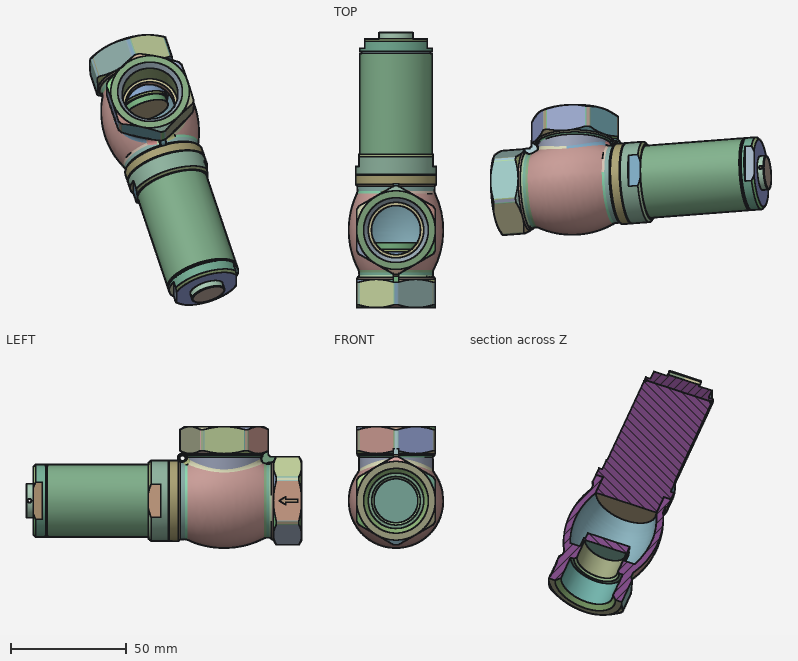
import cadquery as cq
import math


hex_flats = 34.0
hex_corners = 38.2
corner_rounding = 1.0
corner_clearance = 1.0
hex_angle = 60
hex_bevel = math.tan(math.radians(30))
neck_radius = 16.0
neck_flare = 0.6
thread_radius = 12.0
thread_depth = 13.4
countersink_radius = 14.0
countersink_depth = 2.0

inlet_face = 33.5
inlet_hex_length = 12.2
inlet_length = 14.0
outlet_face = 32.0
outlet_hex_length = 11.6
outlet_length = 13.2

dome_radius = 20.49
dome_curve = 37.0
dome_front = -17.7
dome_rear = 16.3
rear_neck_radius = 16.8
dome_blend = 2.3
outlet_blend = 2.2
wall = 3.0
selection_margin = 0.1

collar_radius = 17.5
collar_start = 19.0
collar_slope = 0.8
parting = 23.9
parting_bevel = 0.2

outlet_bore_radius = 10.6
outlet_bore_start = 12.0
seat_bore_radius = 9.5
seat_lead_in = 1.0
seat_radius = 10.5
seat_face = -9.4
cavity_front = -13.0
cavity_rear = 15.0

eyelet_y = 18.0
eyelet_z = 18.4
eyelet_radius = 2.1
eyelet_hole = 2.4
lug_width = 2.4

web_pad_radius = 2.0
web_arm = 2.6
web_reach = 22.5

arrow_tip = -23.7
arrow_neck = -26.6
arrow_tail = -31.8
arrow_half_head = 1.7
arrow_half_shaft = 0.6
arrow_depth = 0.2

spigot_radius = 14.0
bonnet_collar_end = 32.7
bonnet_bevel = 1.1
bonnet_flats = 32.0
bonnet_flats_start = 27.5
tube_radius = 15.7
tube_end = 76.4
groove_radius = 15.0

cap_start = 77.2
cap_end = 82.6
cap_bevel = 1.1
cap_flats = 27.1
cap_flats_start = 78.6
knob_radius = 7.4
knob_end = 85.5
knob_bevel = 0.3
seal_hole = 1.5
seal_hole_place = 84.1

disc_lip_radius = 10.5
disc_lip_end = -8.3
disc_hub_radius = 9.8
disc_hub_end = -5.4


def turned(points):
    """Solid of revolution about the Y axis from (radius, y) points."""
    return cq.Workplane("XY").polyline(points).close().revolve(360, (0, 0), (0, 1))


def cylinder_y(radius, start, end):
    return cq.Workplane("XZ", origin=(0, start, 0)).circle(radius).extrude(start - end)


def cross_cylinder(radius, length, y, z):
    """Cylinder along X, centred on X = 0."""
    return cq.Workplane("YZ", origin=(0, y, z)).circle(radius).extrude(length / 2, both=True)


def side_flats(body, across, start, end):
    """Mill two wrench flats, square to X, on a turned body."""
    length = end - start
    for side in (-1, 1):
        cutter = cq.Workplane("XY").box(across, length, 2 * across)
        body = body.cut(cutter.translate((side * across, start + length / 2, 0)))
    return body


def along_inlet(body):
    """Turn a body built along +Z so that it points along -Y."""
    return body.rotate((0, 0, 0), (1, 0, 0), 90)


def hexagon_prism(across, height):
    """Hexagonal prism up +Z with two flats square to Y."""
    return cq.Workplane("XY").polygon(6, across / math.cos(math.pi / 6)).extrude(height)


def hexagon_fitting(face, hex_length, length):
    """Hexagon with blunted, beveled corners, ending at height face on the Z axis."""
    prism = hexagon_prism(hex_flats, face).rotate((0, 0, 0), (0, 0, 1), hex_angle / 2)
    prism = prism.intersect(hexagon_prism(hex_corners, face))
    prism = prism.edges("|Z").fillet(corner_rounding)
    flat_radius = hex_flats / 2
    outer_radius = hex_corners / 2 + corner_clearance
    flare_start = (hex_length + length) / 2
    drop = (outer_radius - flat_radius) * hex_bevel
    envelope = (
        cq.Workplane("XZ")
        .polyline([
            (0, face),
            (flat_radius, face),
            (outer_radius, face - drop),
            (outer_radius, face - hex_length + drop),
            (flat_radius, face - hex_length),
            (neck_radius + neck_flare, face - flare_start),
        ])
        .threePointArc(
            (neck_radius + neck_flare / 4, face - (flare_start + length) / 2),
            (neck_radius, face - length),
        )
        .lineTo(0, face - length)
        .close()
        .revolve(360, (0, 0), (0, 1))
    )
    return prism.intersect(envelope)


def threaded_bore(face):
    """Countersunk bore cutter reaching down from height face on the Z axis."""
    floor = face - thread_depth
    return (
        cq.Workplane("XZ")
        .polyline([
            (0, face),
            (countersink_radius, face),
            (thread_radius, face - countersink_depth),
            (thread_radius, floor),
            (0, floor),
        ])
        .close()
        .revolve(360, (0, 0), (0, 1))
    )


def dome_height(y, offset=0.0):
    """Radius of the bulging wall at y, moved inward by offset."""
    curve = dome_curve - offset
    return dome_radius - dome_curve + math.sqrt(curve ** 2 - y ** 2)


def housing_shell():
    """Outside of the housing without hexagons: front neck, dome, rear neck and collar."""
    front = inlet_length - inlet_face
    collar_full = collar_start + collar_slope
    shell = (
        cq.Workplane("XY")
        .moveTo(0, front)
        .lineTo(neck_radius, front)
        .lineTo(neck_radius, dome_front)
        .threePointArc((dome_radius, 0), (dome_height(dome_rear), dome_rear))
        .lineTo(rear_neck_radius, collar_start)
        .lineTo(collar_radius, collar_full)
        .lineTo(collar_radius, parting - parting_bevel)
        .lineTo(collar_radius - parting_bevel, parting)
        .lineTo(0, parting)
        .close()
        .revolve(360, (0, 0), (0, 1))
    )
    for place in (dome_front, dome_rear):
        low = (-inlet_face, place - selection_margin, -inlet_face)
        high = (inlet_face, place + selection_margin, inlet_face)
        ring = cq.selectors.BoxSelector(low, high, boundingbox=True)
        shell = shell.edges(ring).fillet(dome_blend)
    return shell


def outlet_neck():
    return cq.Workplane("XY").circle(neck_radius).extrude(outlet_face - outlet_length)


def web():
    """L-shaped rib joining the facing corners of the two hexagons, flush with both."""
    outer = hex_corners / 2
    inner = outer - web_arm
    rib = (
        cq.Workplane("YZ")
        .polyline([
            (-inner, inner),
            (-inner, web_reach),
            (-outer, web_reach),
            (-outer, outer),
            (-web_reach, outer),
            (-web_reach, inner),
        ])
        .close()
        .extrude(lug_width / 2, both=True)
    )
    pad_place = outer - web_pad_radius / 2
    return rib.union(cross_cylinder(web_pad_radius, lug_width, -pad_place, pad_place))


def cavity():
    """Inside of the dome, with the raised seat left standing at its front end."""
    hollow = (
        cq.Workplane("XY")
        .moveTo(0, cavity_front)
        .lineTo(dome_height(cavity_front, wall), cavity_front)
        .threePointArc((dome_radius - wall, 0), (dome_height(cavity_rear, wall), cavity_rear))
        .lineTo(0, cavity_rear)
        .close()
        .revolve(360, (0, 0), (0, 1))
    )
    return hollow.cut(cylinder_y(seat_radius, cavity_front, seat_face))


def seat_bore():
    floor = thread_depth - inlet_face
    return turned([
        (0, floor),
        (seat_bore_radius + seat_lead_in, floor),
        (seat_bore_radius, floor + seat_lead_in),
        (seat_bore_radius, seat_face),
        (0, seat_face),
    ])


def flow_arrow():
    """Arrow engraved in the -X flat of the inlet hexagon."""
    return (
        cq.Workplane("YZ", origin=(-hex_flats / 2, 0, 0))
        .polyline([
            (arrow_tip, 0),
            (arrow_neck, arrow_half_head),
            (arrow_neck, arrow_half_shaft),
            (arrow_tail, arrow_half_shaft),
            (arrow_tail, -arrow_half_shaft),
            (arrow_neck, -arrow_half_shaft),
            (arrow_neck, -arrow_half_head),
        ])
        .close()
        .extrude(arrow_depth)
    )


def make_housing():
    body = housing_shell().union(outlet_neck())
    reach = neck_radius + outlet_blend
    seam = cq.selectors.BoxSelector((-reach, -reach, reach / 2), (reach, reach, reach), boundingbox=True)
    body = body.edges(seam).fillet(outlet_blend)
    body = body.union(hexagon_fitting(outlet_face, outlet_hex_length, outlet_length))
    body = body.union(along_inlet(hexagon_fitting(inlet_face, inlet_hex_length, inlet_length)))
    body = body.union(cross_cylinder(eyelet_radius, lug_width, eyelet_y, eyelet_z))
    body = body.union(web())
    body = body.cut(cavity())
    outlet_bore = cq.Workplane("XY", origin=(0, 0, outlet_bore_start)).circle(outlet_bore_radius)
    body = body.cut(outlet_bore.extrude(outlet_face - outlet_bore_start))
    body = body.cut(threaded_bore(outlet_face))
    body = body.cut(along_inlet(threaded_bore(inlet_face)))
    body = body.cut(seat_bore())
    body = body.cut(cylinder_y(spigot_radius, cavity_rear, parting))
    body = body.cut(cross_cylinder(eyelet_hole / 2, lug_width, eyelet_y, eyelet_z))
    return body.cut(flow_arrow())


def make_bonnet():
    body = turned([
        (0, cavity_rear),
        (spigot_radius, cavity_rear),
        (spigot_radius, parting),
        (collar_radius - parting_bevel, parting),
        (collar_radius, parting + parting_bevel),
        (collar_radius, bonnet_collar_end - bonnet_bevel),
        (collar_radius - bonnet_bevel, bonnet_collar_end),
        (tube_radius, bonnet_collar_end),
        (tube_radius, tube_end),
        (groove_radius, tube_end),
        (groove_radius, cap_start),
        (0, cap_start),
    ])
    return side_flats(body, bonnet_flats, bonnet_flats_start, bonnet_collar_end)


def make_cap():
    body = turned([
        (0, cap_start),
        (tube_radius, cap_start),
        (tube_radius, cap_end - cap_bevel),
        (tube_radius - cap_bevel, cap_end),
        (knob_radius, cap_end),
        (knob_radius, knob_end - knob_bevel),
        (knob_radius - knob_bevel, knob_end),
        (0, knob_end),
    ])
    body = side_flats(body, cap_flats, cap_flats_start, cap_end)
    return body.cut(cross_cylinder(seal_hole / 2, 2 * knob_radius, seal_hole_place, 0))


def make_valve_disc():
    return turned([
        (0, seat_face),
        (disc_lip_radius, seat_face),
        (disc_lip_radius, disc_lip_end),
        (disc_hub_radius, disc_lip_end),
        (disc_hub_radius, disc_hub_end),
        (0, disc_hub_end),
    ])


housing = make_housing()
bonnet = make_bonnet()
cap = make_cap()
valve_disc = make_valve_disc()

bodies = [housing, bonnet, cap, valve_disc]
result = cq.Compound.makeCompound([body.solids().val() for body in bodies])